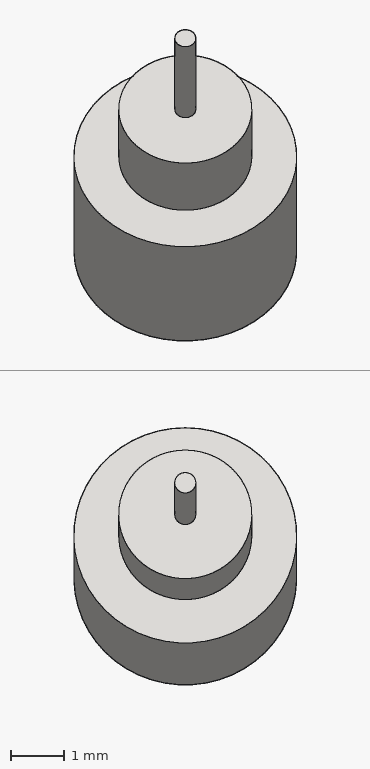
import cadquery as cq

total_height = 6.85
base_diameter = 4.2
base_height = 3.04
collar_diameter = 2.51
collar_height = 1.52
pin_diameter = 0.4

collar_top = base_height + collar_height
pin_length = total_height - collar_top


def cylinder(diameter, height, bottom):
    """Upright cylinder on the Z axis, starting at height `bottom`."""
    return cq.Workplane("XY").workplane(offset=bottom).circle(diameter / 2).extrude(height)


base = cylinder(base_diameter, base_height, 0)
collar = cylinder(collar_diameter, collar_height, base_height)
pin = cylinder(pin_diameter, pin_length, collar_top)

result = base.union(collar).union(pin)